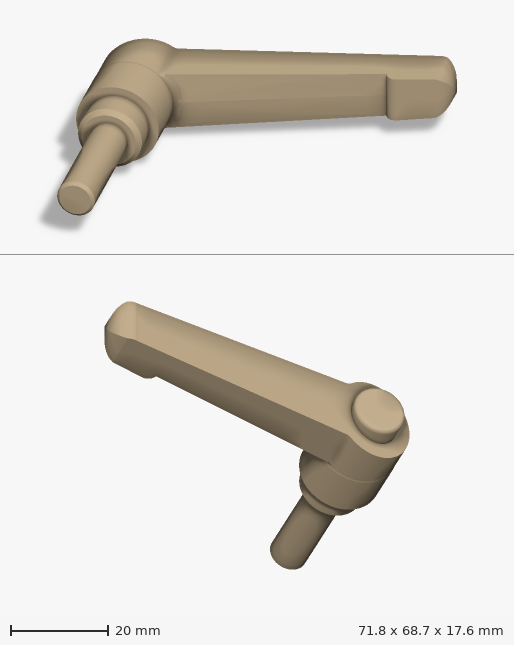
import cadquery as cq
import math

HUB_RADIUS = 8.8
HUB_STEP = 0.1
UPPER_HUB_RADIUS = HUB_RADIUS - HUB_STEP
HUB_STEP_START_Y = 10.3
HUB_STEP_END_Y = 10.8

COLLAR_RADIUS = 6.8
COLLAR_LENGTH = 6.5
COLLAR_CHAMFER = 1.0

SHANK_RADIUS = 4.0
SHANK_END_Y = -31.3
SHANK_CHAMFER = 0.65

BUTTON_RADIUS = 5.5
BUTTON_TOP_Y = 24.7
BUTTON_FILLET = 1.0

BACK_Y_AT_AXIS = 20.55
BACK_SLOPE = math.tan(math.radians(16))

ROOT_X = 6.7
UNDERSIDE_ROOT_Y = 10.85
UNDERSIDE_ANGLE = 20.2
UNDERSIDE_SLOPE = math.tan(math.radians(UNDERSIDE_ANGLE))
ROOT_CROWN = 0.8
GRIP_CROWN = 0.015
ROOT_HALF_WIDTH = 6.4
GRIP_X = 49.85
WIDTH_SLOPE = 0.033
UNDERSIDE_FILLET = 1.45
SIDE_FILLET = 1.95

STOP_RADIUS = 1.95
STOP_DEPTH = 2.1
TIP_X = 71.8 - HUB_RADIUS
CREST_START_X = 57.6
CREST_X = 58.75
CREST_Y = 37.35
CAP_START_X = 59.8
CAP_START_Y = 37.2


def cylinder(radius, start_y, end_y):
    """Solid cylinder on the clamping axis."""
    face = cq.Workplane("XZ", origin=(0, end_y, 0)).circle(radius)
    return face.extrude(end_y - start_y)


def back_y(x):
    return BACK_Y_AT_AXIS + BACK_SLOPE * x


def underside_y(x):
    return UNDERSIDE_ROOT_Y + UNDERSIDE_SLOPE * (x - ROOT_X)


def half_width(x):
    return ROOT_HALF_WIDTH - WIDTH_SLOPE * (x - ROOT_X)


def make_hub():
    top_y = back_y(HUB_RADIUS)
    body = (
        cq.Workplane("XY")
        .polyline([
            (0, 0),
            (HUB_RADIUS, 0),
            (HUB_RADIUS, HUB_STEP_START_Y),
            (UPPER_HUB_RADIUS, HUB_STEP_END_Y),
            (UPPER_HUB_RADIUS, top_y),
            (0, top_y),
        ])
        .close()
        .revolve(360, (0, 0), (0, 1))
    )
    below_back = (
        cq.Workplane("XY")
        .polyline([
            (-HUB_RADIUS, 0),
            (HUB_RADIUS, 0),
            (HUB_RADIUS, top_y),
            (-HUB_RADIUS, back_y(-HUB_RADIUS)),
        ])
        .close()
        .extrude(HUB_RADIUS, both=True)
    )
    return body.intersect(below_back)


def arm_section(x, crown):
    """Five-sided cross-section of the arm, with the underside ridge on its centreline."""
    width = half_width(x)
    edge_y = underside_y(x) + crown
    points = [
        (x, back_y(x), -width),
        (x, back_y(x), width),
        (x, edge_y, width),
        (x, underside_y(x), 0),
        (x, edge_y, -width),
    ]
    return cq.Wire.makePolygon([cq.Vector(*point) for point in points], close=True)


def make_arm():
    sections = [arm_section(ROOT_X, ROOT_CROWN), arm_section(GRIP_X, GRIP_CROWN)]
    return cq.Workplane(cq.Solid.makeLoft(sections, True))


def make_grip():
    stop_x = GRIP_X + STOP_RADIUS
    stop_y = underside_y(stop_x) - STOP_DEPTH / math.cos(math.radians(UNDERSIDE_ANGLE)) + STOP_RADIUS

    def on_stop(angle):
        radians = math.radians(angle)
        return stop_x + STOP_RADIUS * math.cos(radians), stop_y + STOP_RADIUS * math.sin(radians)

    stop_end_angle = UNDERSIDE_ANGLE - 90
    stop_end = on_stop(stop_end_angle)
    grip_end_y = stop_end[1] + UNDERSIDE_SLOPE * (CAP_START_X - stop_end[0])

    side = (
        cq.Workplane("XY")
        .moveTo(GRIP_X, back_y(GRIP_X))
        .lineTo(*on_stop(180))
        .threePointArc(on_stop((stop_end_angle - 180) / 2), stop_end)
        .lineTo(CAP_START_X, grip_end_y)
        .threePointArc((TIP_X, (grip_end_y + CAP_START_Y) / 2), (CAP_START_X, CAP_START_Y))
        .threePointArc((CREST_X, CREST_Y), (CREST_START_X, back_y(CREST_START_X)))
        .close()
        .extrude(HUB_RADIUS, both=True)
    )

    plan = (
        cq.Workplane("XZ", origin=(0, back_y(TIP_X), 0))
        .moveTo(GRIP_X, half_width(GRIP_X))
        .lineTo(CAP_START_X, half_width(CAP_START_X))
        .threePointArc((TIP_X, 0), (CAP_START_X, -half_width(CAP_START_X)))
        .lineTo(GRIP_X, -half_width(GRIP_X))
        .close()
        .extrude(back_y(TIP_X))
    )
    return side.intersect(plan)


def make_root_flare():
    """Body of revolution around the hub with a concave flare that meets the arm's underside."""
    flare_radius = UPPER_HUB_RADIUS + UNDERSIDE_FILLET
    flare_y = underside_y(flare_radius)
    shoulder_y = flare_y - UNDERSIDE_FILLET
    fillet_middle = UNDERSIDE_FILLET * (1 - math.sqrt(0.5))
    top_y = back_y(flare_radius)
    return (
        cq.Workplane("XY")
        .moveTo(0, shoulder_y)
        .lineTo(UPPER_HUB_RADIUS, shoulder_y)
        .threePointArc((UPPER_HUB_RADIUS + fillet_middle, flare_y - fillet_middle), (flare_radius, flare_y))
        .lineTo(flare_radius, top_y)
        .lineTo(0, top_y)
        .close()
        .revolve(360, (0, 0), (0, 1))
    )


def make_root_plan():
    """Plan of the arm root, with fillets tangent to the hub and to the arm's tapered sides."""
    taper = math.atan(WIDTH_SLOPE)
    reach = UPPER_HUB_RADIUS + SIDE_FILLET
    center_angle = math.asin((half_width(0) * math.cos(taper) + SIDE_FILLET) / reach) - taper
    center_x = reach * math.cos(center_angle)
    center_z = reach * math.sin(center_angle)

    def on_fillet(angle):
        return center_x + SIDE_FILLET * math.cos(angle), center_z + SIDE_FILLET * math.sin(angle)

    hub_angle = center_angle - math.pi
    arm_angle = -math.pi / 2 - taper
    hub_point = on_fillet(hub_angle)
    middle_point = on_fillet((hub_angle + arm_angle) / 2)
    arm_point = on_fillet(arm_angle)
    end_x = UPPER_HUB_RADIUS + UNDERSIDE_FILLET
    top_y = back_y(end_x)

    def mirrored(point):
        return point[0], -point[1]

    return (
        cq.Workplane("XZ", origin=(0, top_y, 0))
        .moveTo(0, 0)
        .lineTo(*hub_point)
        .threePointArc(middle_point, arm_point)
        .lineTo(end_x, half_width(end_x))
        .lineTo(end_x, -half_width(end_x))
        .lineTo(*mirrored(arm_point))
        .threePointArc(mirrored(middle_point), mirrored(hub_point))
        .close()
        .extrude(top_y)
    )


def make_root_blend():
    end_x = UPPER_HUB_RADIUS + UNDERSIDE_FILLET
    below_back = (
        cq.Workplane("XY")
        .polyline([(0, 0), (end_x, 0), (end_x, back_y(end_x)), (0, back_y(0))])
        .close()
        .extrude(UPPER_HUB_RADIUS, both=True)
    )
    return make_root_flare().intersect(make_root_plan()).intersect(below_back)


shank = cylinder(SHANK_RADIUS, SHANK_END_Y, 0).faces("<Y").chamfer(SHANK_CHAMFER)
collar = cylinder(COLLAR_RADIUS, -COLLAR_LENGTH, 0).faces("<Y").chamfer(COLLAR_CHAMFER)
button = cylinder(BUTTON_RADIUS, 0, BUTTON_TOP_Y).faces(">Y").edges().fillet(BUTTON_FILLET)

result = make_hub()
for feature in (make_root_blend(), make_arm(), make_grip(), collar, shank, button):
    result = result.union(feature)